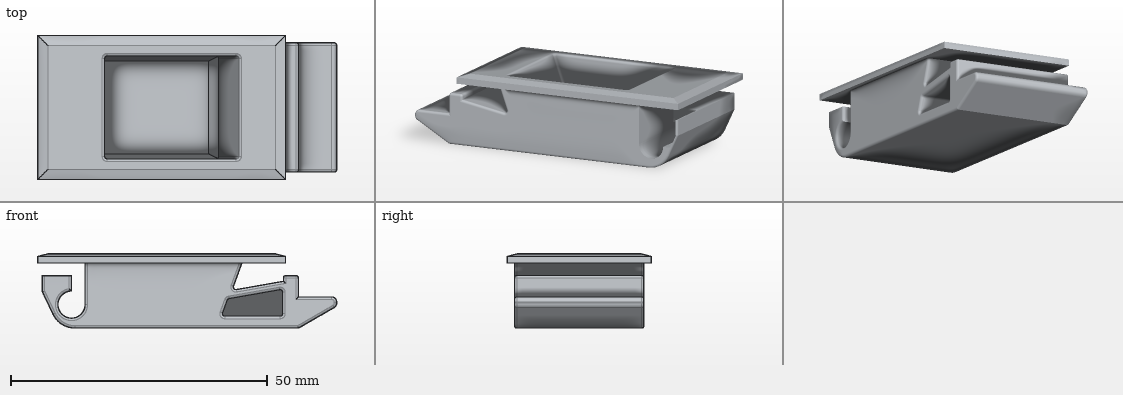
import cadquery as cq
import math

total_length = 58.25
total_height = 14.5
plate_length = 48.3
plate_width = 28.1
plate_bevel_height = 0.5
plate_bevel_inset = 2.0
plate_rim_height = 1.3
plate_bottom = total_height - plate_bevel_height - plate_rim_height

body_width = 25.2
small_round = 0.495
ledge_height = 10.25
wall_slope = math.radians(20)
arm_slope = math.radians(10)

hook_outer_x = 0.9
hook_bend_z = 7.1
hook_slope = math.radians(64.5)
hook_heel_x = hook_outer_x + hook_bend_z / math.tan(hook_slope)
hook_heel_radius = 4.8
slot_center_x = 6.6
slot_center_z = 4.6
slot_radius = 2.6
slot_wall_x = slot_center_x + slot_radius

relief_start_y = 2.9
lip_thickness = 0.35

notch_x = 37.85
notch_z = 7.4
notch_top_x = notch_x + (plate_bottom - notch_z) * math.tan(wall_slope)
post_left_x = 47.8
post_right_x = 50.8
arm_end_z = notch_z + (post_left_x - notch_x) * math.tan(arm_slope)
tongue_top = 6.1
tongue_slope = math.radians(30)
tongue_nose_z = (total_length - post_right_x) * math.tan(tongue_slope)
tongue_round = 1.0

window_left_x = 35.75
window_right_x = 47.7
window_bottom = 2.35
window_left_top = 5.7
window_back_wall = 1.0

recess_left_x = 13.05
recess_right_x = 39.3
recess_width = 20.05
recess_floor = 2.35
recess_floor_right_x = 33.25
band_height = 1.0
band_side_inset = 1.0
band_top = recess_floor + band_height
band_top_right_x = recess_right_x - (total_height - band_top) * math.tan(wall_slope)

touch = 0.03


def make_plate():
    rim = (
        cq.Workplane("XY", origin=(plate_length / 2, 0, plate_bottom))
        .rect(plate_length, plate_width)
        .extrude(plate_rim_height)
    )
    bevel_angle = math.degrees(math.atan2(plate_bevel_inset, plate_bevel_height))
    return (
        rim.faces(">Z")
        .workplane()
        .rect(plate_length, plate_width)
        .extrude(plate_bevel_height, taper=bevel_angle)
    )


def make_body():
    """Hook, block, latch arm and tongue as one side profile extruded across the width."""
    return (
        cq.Workplane("XZ", origin=(0, body_width / 2, 0))
        .moveTo(hook_outer_x, ledge_height)
        .lineTo(hook_outer_x, hook_bend_z)
        .lineTo(hook_heel_x, 0)
        .lineTo(post_right_x, 0)
        .lineTo(total_length, tongue_nose_z)
        .lineTo(total_length, tongue_top)
        .lineTo(post_right_x, tongue_top)
        .lineTo(post_right_x, ledge_height)
        .lineTo(post_left_x, ledge_height)
        .lineTo(post_left_x, arm_end_z)
        .lineTo(notch_x, notch_z)
        .lineTo(notch_top_x, plate_bottom)
        .lineTo(slot_wall_x, plate_bottom)
        .lineTo(slot_wall_x, slot_center_z)
        .radiusArc((slot_center_x, slot_center_z - slot_radius), slot_radius)
        .threePointArc(
            (slot_center_x - slot_radius, slot_center_z),
            (slot_center_x, slot_center_z + slot_radius),
        )
        .lineTo(slot_center_x, ledge_height)
        .close()
        .extrude(body_width)
    )


def round_profile(body):
    """Round the corners of the side profile."""
    corners = (
        (hook_heel_x, 0, hook_heel_radius),
        (notch_x, notch_z, small_round),
        (post_left_x, ledge_height, small_round),
        (post_right_x, ledge_height, small_round),
        (total_length, tongue_nose_z, tongue_round),
        (total_length, tongue_top, tongue_round),
    )
    for x, z, radius in corners:
        corner = cq.selectors.BoxSelector((x - touch, -touch, z - touch), (x + touch, touch, z + touch))
        body = body.edges(corner).fillet(radius)
    return body


def cut_window(body):
    left_top_x = window_left_x + (window_left_top - window_bottom) * math.tan(wall_slope)
    right_top = window_left_top + (window_right_x - left_top_x) * math.tan(arm_slope)
    window = (
        cq.Workplane("XZ", origin=(0, body_width / 2 - window_back_wall, 0))
        .moveTo(window_left_x, window_bottom)
        .lineTo(window_right_x, window_bottom)
        .lineTo(window_right_x, right_top)
        .lineTo(left_top_x, window_left_top)
        .close()
        .extrude(body_width)
        .edges("|Y")
        .fillet(small_round)
    )
    return body.cut(window)


def round_sides(body):
    """Round both side outlines; the hook top, the plate joint and the +Y slot mouth stay sharp."""

    def stays_sharp(edge):
        middle = edge.Center()
        at_plate = abs(middle.z - plate_bottom) < touch
        at_hook_top = abs(middle.z - ledge_height) < touch and middle.x < slot_center_x
        box = edge.BoundingBox()
        in_slot = box.xmin > slot_center_x - slot_radius - touch and box.xmax < slot_wall_x + touch
        at_slot_mouth = middle.y > 0 and in_slot and box.zmin > touch
        return at_plate or at_hook_top or at_slot_mouth

    for side in ("<Y", ">Y"):
        rounded = [edge for edge in body.faces(side).edges().vals() if not stays_sharp(edge)]
        body = body.newObject(rounded).fillet(small_round)
    return body


def cut_hook_relief(body):
    lip_x = hook_outer_x + lip_thickness
    lip_foot_x = lip_x + (hook_bend_z - slot_center_z) / math.tan(hook_slope)
    relief = (
        cq.Workplane("XZ", origin=(0, body_width / 2, 0))
        .moveTo(lip_x, ledge_height)
        .lineTo(lip_x, hook_bend_z)
        .lineTo(lip_foot_x, slot_center_z)
        .lineTo(slot_center_x, slot_center_z)
        .lineTo(slot_center_x, ledge_height)
        .close()
        .extrude(body_width / 2 - relief_start_y)
    )
    return body.cut(relief)


def make_recess():
    """Cutter for the finger recess: a wedge trimmed at the bottom by the sloping band."""
    wall_foot_x = recess_right_x - (total_height - recess_floor) * math.tan(wall_slope)
    wedge = (
        cq.Workplane("XZ", origin=(0, recess_width / 2, 0))
        .moveTo(recess_left_x, recess_floor)
        .lineTo(wall_foot_x, recess_floor)
        .lineTo(recess_right_x, total_height)
        .lineTo(recess_left_x, total_height)
        .close()
        .extrude(recess_width)
    )
    wedge = wedge.faces("<X or >X").edges("not |Y").fillet(small_round)

    end_band = (
        cq.Workplane("XZ", origin=(0, recess_width / 2, 0))
        .moveTo(recess_left_x, recess_floor)
        .lineTo(recess_floor_right_x, recess_floor)
        .lineTo(band_top_right_x, band_top)
        .lineTo(recess_right_x, band_top)
        .lineTo(recess_right_x, total_height)
        .lineTo(recess_left_x, total_height)
        .close()
        .extrude(recess_width)
    )
    half_width = recess_width / 2
    half_floor = half_width - band_side_inset
    side_bands = (
        cq.Workplane("YZ", origin=(recess_left_x, 0, 0))
        .moveTo(-half_floor, recess_floor)
        .lineTo(half_floor, recess_floor)
        .lineTo(half_width, band_top)
        .lineTo(half_width, total_height)
        .lineTo(-half_width, total_height)
        .lineTo(-half_width, band_top)
        .close()
        .extrude(recess_right_x - recess_left_x)
    )
    return wedge.intersect(end_band).intersect(side_bands)


def round_recess_rim(part):
    reach = 0.6
    rim = cq.selectors.BoxSelector(
        (recess_left_x - reach, -recess_width / 2 - reach, total_height - touch),
        (recess_right_x + reach, recess_width / 2 + reach, total_height + touch),
    )
    return part.edges(rim).fillet(small_round)


body = round_profile(make_body())
body = cut_window(body)
body = round_sides(body)
body = cut_hook_relief(body)

part = make_plate().union(body)
part = part.cut(make_recess())
result = round_recess_rim(part)